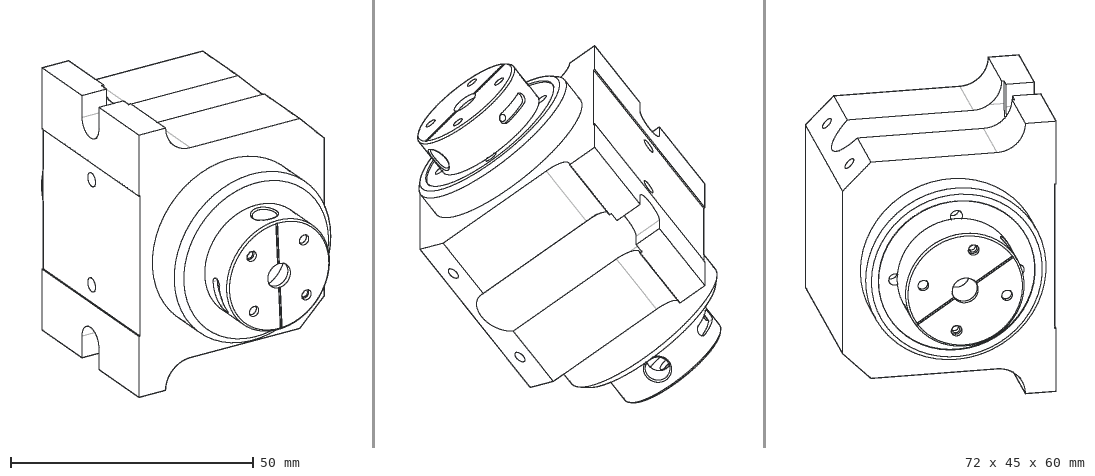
import cadquery as cq
import math


block_length = 38.0
block_half = block_length / 2
foot_height = 60.0
body_height = 48.0
back_y = 22.75
block_depth = 45.0
front_y = back_y - block_depth
foot_thickness = 6.5
foot_overhang = (foot_height - body_height) / 2
back_chamfer = 6.0
relief_height = 32.05
relief_depth = 0.3

slot_width = 6.6
slot_center_z = 25.0
head_width = 10.5
seat_thickness = 6.0

locating_hole_diameter = 3.0
locating_hole_spacing = 24.05
tapped_hole_diameter = 2.5
tapped_hole_spacing = 23.0
tapped_hole_depth = 6.0

housing_diameter = 38.0
left_flange_length = 6.4
left_chamfer = 1.0
right_flange_length = 10.0
right_chamfer = 1.45
recess_diameter = 33.0
recess_depth = 0.35
housing_hole_circle = 26.0
housing_hole_diameter = 2.5
housing_hole_depth = 4.0

hub_diameter = 25.0
hub_radius = hub_diameter / 2
hub_chamfer = 0.4
overall_length = 72.0
left_end_x = -34.0
right_end_x = left_end_x + overall_length
left_hub_angle = 146.5
right_hub_angle = 92.6
bore_diameter = 5.5

lip_thickness = 1.0
cavity_diameter = 14.0
cross_hole_diameter = 5.1
cross_hole_chamfer = 0.35
cross_hole_from_end = 4.8
face_hole_circle = 18.0
face_hole_diameter = 2.2
face_hole_depth = 0.9
face_hole_angle = 45
pilot_diameter = 1.6
pilot_depth = 2.15
drill_tip_angle = 118
pocket_from_end = 4.5
pocket_width = 2.4
pocket_travel = 6.0
pocket_depth = 1.0
port_diameter = 1.45
port_depth = 3.6
score_width = 0.35
score_depth = 0.15


def x_cylinder(diameter, start_x, end_x):
    """Cylinder on the shaft axis between two X positions."""
    return cq.Workplane("YZ", origin=(start_x, 0, 0)).circle(diameter / 2).extrude(end_x - start_x)


def make_block():
    """Body with two feet, concave foot roots and chamfered back edges."""
    half_body = body_height / 2
    half_foot = foot_height / 2
    foot_back_y = front_y + foot_thickness
    root_y = foot_back_y + foot_overhang
    root_mid_y = foot_back_y + foot_overhang * (1 - math.sqrt(0.5))
    root_mid_z = half_foot - foot_overhang * math.sqrt(0.5)
    block = (
        cq.Workplane("YZ", origin=(-block_half, 0, 0))
        .moveTo(front_y, -half_foot)
        .lineTo(foot_back_y, -half_foot)
        .threePointArc((root_mid_y, -root_mid_z), (root_y, -half_body))
        .lineTo(back_y - back_chamfer, -half_body)
        .lineTo(back_y, -half_body + back_chamfer)
        .lineTo(back_y, half_body - back_chamfer)
        .lineTo(back_y - back_chamfer, half_body)
        .lineTo(root_y, half_body)
        .threePointArc((root_mid_y, root_mid_z), (foot_back_y, half_foot))
        .lineTo(front_y, half_foot)
        .close()
        .extrude(block_length)
    )
    relief = cq.Workplane("XY").box(block_length, 2 * relief_depth, relief_height)
    return block.cut(relief.translate((0, front_y, 0)))


def open_slot(width, start_y, end_y, side):
    """Round-bottomed slot along Y, open towards the foot end on the given Z side."""
    center_z = side * slot_center_z
    length = end_y - start_y
    round_end = (
        cq.Workplane("XZ", origin=(0, end_y, 0)).center(0, center_z).circle(width / 2).extrude(length)
    )
    straight = (
        cq.Workplane("XZ", origin=(0, end_y, 0))
        .center(0, center_z + side * foot_height / 4)
        .rect(width, foot_height / 2)
        .extrude(length)
    )
    return round_end.union(straight)


def cut_foot_slots(block):
    """Screw slot through each foot with a wider head channel running to the back."""
    seat_y = front_y + seat_thickness
    for side in (-1, 1):
        block = block.cut(open_slot(slot_width, front_y, back_y, side))
        block = block.cut(open_slot(head_width, seat_y, back_y, side))
    return block


def cut_block_holes(block):
    """Locating holes from the front face to the housing, and tapped holes square to the back chamfers.

    The locating holes are cut to mid-depth here; the housing added later closes them at its surface.
    """
    chamfer_mid_y = back_y - back_chamfer / 2
    chamfer_mid_z = body_height / 2 - back_chamfer / 2
    for side in (-1, 1):
        hole_start = cq.Vector(0, front_y, side * locating_hole_spacing / 2)
        block = block.cut(
            cq.Solid.makeCylinder(
                locating_hole_diameter / 2, -front_y, hole_start, cq.Vector(0, 1, 0)
            )
        )
        for end in (-1, 1):
            hole_start = cq.Vector(end * tapped_hole_spacing / 2, chamfer_mid_y, side * chamfer_mid_z)
            block = block.cut(
                cq.Solid.makeCylinder(
                    tapped_hole_diameter / 2, tapped_hole_depth, hole_start, cq.Vector(0, -1, -side)
                )
            )
    return block


def make_housing():
    """Bearing housing running through the block, with a recess and four blind holes in its left face."""
    left_face_x = -block_half - left_flange_length
    right_face_x = block_half + right_flange_length
    housing = x_cylinder(housing_diameter, left_face_x, right_face_x)
    housing = housing.faces("<X").chamfer(left_chamfer)
    housing = housing.faces(">X").chamfer(right_chamfer)
    recess = x_cylinder(recess_diameter, left_face_x, left_face_x + recess_depth)
    holes = (
        cq.Workplane("YZ", origin=(left_face_x, 0, 0))
        .polarArray(housing_hole_circle / 2, 0, 360, 4)
        .circle(housing_hole_diameter / 2)
        .extrude(housing_hole_depth)
    )
    return housing.cut(recess).cut(holes)


def cut_cross_hole(hub):
    """Hole across the hub along Y with both mouths chamfered."""
    hole = (
        cq.Workplane("XZ", origin=(cross_hole_from_end, hub_radius, 0))
        .circle(cross_hole_diameter / 2)
        .extrude(hub_diameter)
    )
    hub = hub.cut(hole)
    clearance = math.sqrt(hub_radius**2 - cross_hole_diameter**2)
    for side in (-1, 1):
        near_corner = (cross_hole_from_end - cross_hole_diameter, side * clearance, -cross_hole_diameter)
        far_corner = (cross_hole_from_end + cross_hole_diameter, side * hub_diameter, cross_hole_diameter)
        hub = hub.edges(cq.selectors.BoxSelector(near_corner, far_corner)).chamfer(cross_hole_chamfer)
    return hub


def drilled_hole(diameter, depth):
    """Blind hole from the origin along +X; the depth excludes the conical tip."""
    radius = diameter / 2
    tip_length = radius / math.tan(math.radians(drill_tip_angle / 2))
    return (
        cq.Workplane("XY")
        .lineTo(depth + tip_length, 0)
        .lineTo(depth, radius)
        .lineTo(0, radius)
        .close()
        .revolve(360, (0, 0, 0), (1, 0, 0))
    )


def face_holes():
    """Four shallow end-face holes turned from the cross hole; one opposite pair has pilot holes."""
    holes = (
        cq.Workplane("YZ")
        .polarArray(face_hole_circle / 2, face_hole_angle, 360, 4)
        .circle(face_hole_diameter / 2)
        .extrude(face_hole_depth)
    )
    pilot = drilled_hole(pilot_diameter, pilot_depth).translate((0, face_hole_circle / 2, 0))
    for angle in (-face_hole_angle, 180 - face_hole_angle):
        holes = holes.union(pilot.rotate((0, 0, 0), (1, 0, 0), angle))
    return holes


def rim_pocket():
    """Slot in the hub's rim with a curved floor, and a small radial port at its start."""
    outline = (
        cq.Workplane("XY", origin=(pocket_from_end, pocket_travel / 2, 0))
        .slot2D(pocket_travel + pocket_width, pocket_width, 90)
        .extrude(hub_radius)
    )
    floor = x_cylinder(hub_diameter - 2 * pocket_depth, 0, 2 * pocket_from_end)
    port = drilled_hole(port_diameter, port_depth).rotate((0, 0, 0), (0, 1, 0), 90)
    port = port.translate((pocket_from_end, 0, hub_radius))
    return outline.cut(floor).union(port)


def make_hub(hub_length):
    """Hub in its own frame: end face at X = 0, body towards +X, cross hole along Y."""
    hub = x_cylinder(hub_diameter, 0, hub_length).rotate((0, 0, 0), (1, 0, 0), 90)
    hub = cut_cross_hole(hub.faces("<X").chamfer(hub_chamfer))
    score = cq.Workplane("XY").box(2 * score_depth, hub_diameter - 2 * hub_chamfer, score_width)
    cavity = x_cylinder(cavity_diameter, lip_thickness, hub_length)
    return hub.cut(face_holes()).cut(score).cut(rim_pocket()).cut(cavity)


def place_hub(hub, end_x, angle):
    """Turn the cross hole to the angle from +Y towards +Z and move the end face to its X position."""
    return hub.rotate((0, 0, 0), (1, 0, 0), angle).translate((end_x, 0, 0))


block = cut_block_holes(cut_foot_slots(make_block()))
left_hub = make_hub(-left_end_x - block_half - left_flange_length + recess_depth)
right_hub = make_hub(right_end_x - block_half - right_flange_length)
right_hub = right_hub.rotate((0, 0, 0), (0, 0, 1), 180)

result = (
    block.union(make_housing())
    .union(place_hub(left_hub, left_end_x, left_hub_angle))
    .union(place_hub(right_hub, right_end_x, right_hub_angle))
    .cut(x_cylinder(bore_diameter, left_end_x, right_end_x))
)